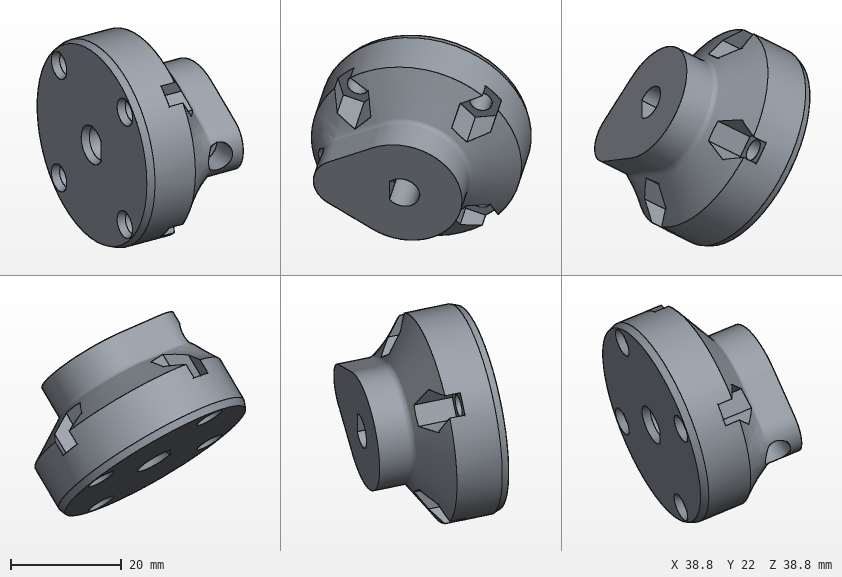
import cadquery as cq
import math

FLANGE_RADIUS = 19.42
FLANGE_LENGTH = 10.0
EDGE_DEPTH = 1.4
EDGE_WIDTH = 0.55

TOTAL_LENGTH = 22.0
HUB_START = 15.45
HUB_FILLET = 1.0
HUB_RADIUS = 11.0
LUG_RADIUS = HUB_RADIUS / 2
LUG_OFFSET = HUB_RADIUS
TANGENT_ANGLE = math.acos((HUB_RADIUS - LUG_RADIUS) / LUG_OFFSET)

BORE_RADIUS = 3.15
BORE_FLAT = 2.4
FLAT_BEVEL = 0.75

BOLT_DIAMETER = 4.15
BOLT_SPACING = 22.6
HEX_DIAMETER = 7.95
HEX_FLOOR = 7.1

SCREW_DIAMETER = 3.2
SCREW_HEAD_DIAMETER = 5.5
SCREW_Y = 16.95
SCREW_SEAT_X = LUG_OFFSET


def polar(radius, angle, offset=0.0):
    return (offset + radius * math.cos(angle), radius * math.sin(angle))


def plane_at(y):
    """Plane across the axis with local axes X and Z, so its normal is -Y."""
    return cq.Workplane("XZ", origin=(0, y, 0))


def hub_outline(sketch):
    upper = polar(HUB_RADIUS, TANGENT_ANGLE)
    lower = polar(HUB_RADIUS, -TANGENT_ANGLE)
    lug_upper = polar(LUG_RADIUS, TANGENT_ANGLE, LUG_OFFSET)
    lug_lower = polar(LUG_RADIUS, -TANGENT_ANGLE, LUG_OFFSET)
    return (
        sketch.moveTo(*upper)
        .threePointArc((-HUB_RADIUS, 0), lower)
        .lineTo(*lug_lower)
        .threePointArc((LUG_OFFSET + LUG_RADIUS, 0), lug_upper)
        .close()
    )


def flange_outline(sketch):
    """Circle split in four arcs that pair with the four edges of the hub."""
    lug_x, lug_z = polar(LUG_RADIUS, TANGENT_ANGLE, LUG_OFFSET)
    lug_angle = math.atan2(lug_z, lug_x)
    middle_angle = (TANGENT_ANGLE + lug_angle) / 2
    return (
        sketch.moveTo(*polar(FLANGE_RADIUS, TANGENT_ANGLE))
        .threePointArc((-FLANGE_RADIUS, 0), polar(FLANGE_RADIUS, -TANGENT_ANGLE))
        .threePointArc(polar(FLANGE_RADIUS, -middle_angle), polar(FLANGE_RADIUS, -lug_angle))
        .threePointArc((FLANGE_RADIUS, 0), polar(FLANGE_RADIUS, lug_angle))
        .threePointArc(polar(FLANGE_RADIUS, middle_angle), polar(FLANGE_RADIUS, TANGENT_ANGLE))
        .close()
    )


def make_body():
    flange = plane_at(0).circle(FLANGE_RADIUS).extrude(-FLANGE_LENGTH)
    flange = flange.faces("<Y").chamfer(EDGE_DEPTH, EDGE_WIDTH)
    shoulder = flange_outline(plane_at(FLANGE_LENGTH))
    shoulder = hub_outline(shoulder.workplane(offset=FLANGE_LENGTH - HUB_START)).loft(ruled=True)
    hub = hub_outline(plane_at(HUB_START)).extrude(HUB_START - TOTAL_LENGTH)
    foot = cq.selectors.BoxSelector(
        (-FLANGE_RADIUS, HUB_START - 0.05, -FLANGE_RADIUS),
        (FLANGE_RADIUS, HUB_START + 0.05, FLANGE_RADIUS),
    )
    return flange.union(shoulder).union(hub).edges(foot).fillet(HUB_FILLET)


def countersink(radius):
    """Tapered mouth on the front face around the axis."""
    return plane_at(0).circle(radius + EDGE_WIDTH).workplane(offset=-EDGE_DEPTH).circle(radius).loft()


def make_bore():
    bore = plane_at(0).circle(BORE_RADIUS).extrude(-TOTAL_LENGTH).union(countersink(BORE_RADIUS))
    far = 2 * BORE_RADIUS
    flat_side = (
        cq.Workplane("XY", origin=(0, 0, -far))
        .polyline([
            (-far, 0),
            (BORE_FLAT + FLAT_BEVEL, 0),
            (BORE_FLAT, EDGE_DEPTH),
            (BORE_FLAT, TOTAL_LENGTH),
            (-far, TOTAL_LENGTH),
        ])
        .close()
        .extrude(2 * far)
    )
    return bore.intersect(flat_side)


def make_bolt_hole():
    """Hole and nut pocket on the axis, with two pocket sides square to X."""
    hole = plane_at(0).circle(BOLT_DIAMETER / 2).extrude(-TOTAL_LENGTH)
    pocket = (
        plane_at(HEX_FLOOR)
        .polygon(6, HEX_DIAMETER)
        .extrude(HEX_FLOOR - TOTAL_LENGTH)
        .rotate((0, 0, 0), (0, 1, 0), 30)
    )
    return hole.union(countersink(BOLT_DIAMETER / 2)).union(pocket)


def make_set_screw():
    start = cq.Workplane("YZ", origin=(0, SCREW_Y, 0))
    hole = start.circle(SCREW_DIAMETER / 2).extrude(FLANGE_RADIUS)
    seat = start.workplane(offset=SCREW_SEAT_X).circle(SCREW_HEAD_DIAMETER / 2)
    return hole.union(seat.extrude(FLANGE_RADIUS - SCREW_SEAT_X))


result = make_body().cut(make_bore()).cut(make_set_screw())
bolt_hole = make_bolt_hole().translate((BOLT_SPACING / math.sqrt(2), 0, 0))
for angle in (45, 135, 225, 315):
    result = result.cut(bolt_hole.rotate((0, 0, 0), (0, 1, 0), angle))